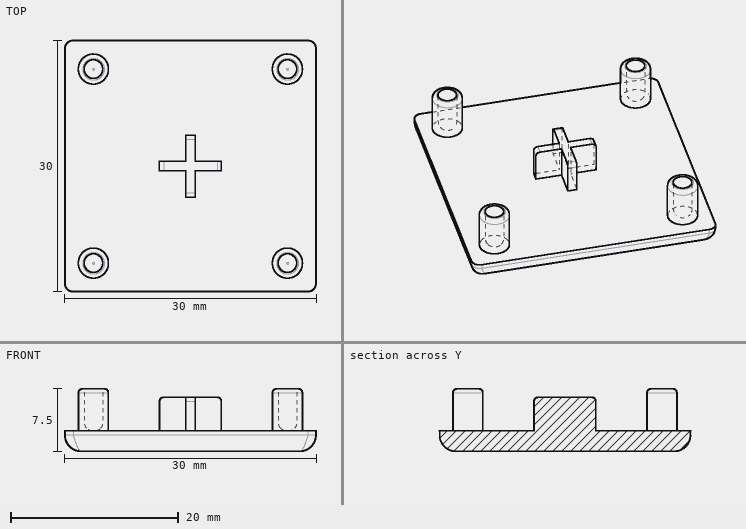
import cadquery as cq

plate_side = 30
plate_thickness = 2.5
plate_corner_radius = 1.0
plate_rim_height = 0.5
plate_bottom_radius = plate_thickness - plate_rim_height

overall_height = 7.5
post_height = overall_height - plate_thickness
post_diameter = 3.6
post_spacing = 23.15
post_rim_radius = 0.5
bore_diameter = 2.22
bore_floor_radius = 1.0

cross_span = 7.4
cross_arm_width = 1.1
cross_height = 4.0
cross_edge_radius = 0.5


def make_plate():
    """Square plate with rounded corners, a short straight rim and a rounded underside edge."""
    block = cq.Workplane("XY").box(plate_side, plate_side, plate_thickness, centered=(True, True, False))
    return block.edges("|Z").fillet(plate_corner_radius).faces("<Z").edges().fillet(plate_bottom_radius)


def make_post():
    """Upright post with a rounded rim and a round-bottomed bore that reaches down to the plate."""
    post = cq.Workplane("XY").circle(post_diameter / 2).extrude(post_height)
    post = post.faces(">Z").edges().fillet(post_rim_radius)
    bore = cq.Workplane("XY").circle(bore_diameter / 2).extrude(post_height)
    return post.cut(bore.faces("<Z").edges().fillet(bore_floor_radius))


def make_cross():
    """Two crossing ribs whose top end edges are rounded."""
    rib = cq.Workplane("XY").box(cross_span, cross_arm_width, cross_height, centered=(True, True, False))
    rib = rib.faces(">Z").edges("|Y").fillet(cross_edge_radius)
    return rib.union(rib.rotate((0, 0, 0), (0, 0, 1), 90))


result = make_plate()
for x_side in (-1, 1):
    for y_side in (-1, 1):
        post_place = (x_side * post_spacing / 2, y_side * post_spacing / 2, plate_thickness)
        result = result.union(make_post().translate(post_place))
result = result.union(make_cross().translate((0, 0, plate_thickness)))